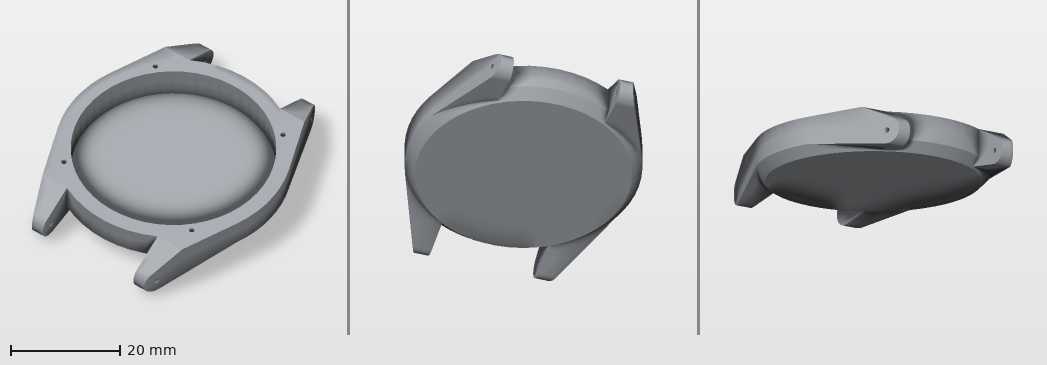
import cadquery as cq
import math

case_diameter = 43.45
case_height = 7.0
bevel = 1.9
pocket_diameter = 37.6
pocket_depth = 6.0

overall_length = 53.6
overall_height = 7.8
lug_gap = 20.35
lug_end_radius = 2.5
lug_taper_angle = math.radians(22)

hole_diameter = 1.0
screw_hole_spacing = 28.7
screw_hole_depth = 3.0

case_radius = case_diameter / 2
bevel_start = bevel - case_height
lug_inner_x = lug_gap / 2
lug_end_y = overall_length / 2
lug_slope_start_y = math.sqrt(case_radius**2 - lug_inner_x**2)
flank_start_x = case_radius * math.cos(lug_taper_angle)
flank_start_y = case_radius * math.sin(lug_taper_angle)
lug_tip_x = flank_start_x - (lug_end_y - flank_start_y) * math.tan(lug_taper_angle)
pin_y = lug_end_y - lug_end_radius
pin_z = lug_end_radius - overall_height


def tangent_point(start_y, start_z, side):
    """Point where a line from the start touches the lug end circle; side +1 is above, -1 below."""
    offset_y = start_y - pin_y
    offset_z = start_z - pin_z
    distance = math.hypot(offset_y, offset_z)
    direction = math.atan2(offset_z, offset_y)
    angle = direction - side * math.acos(lug_end_radius / distance)
    return pin_y + lug_end_radius * math.cos(angle), pin_z + lug_end_radius * math.sin(angle)


def make_case():
    disc = cq.Workplane("XY").circle(case_radius).extrude(-case_height)
    return disc.faces("<Z").chamfer(bevel)


def make_lug():
    """Lug in the +X, +Y quarter: side profile trimmed by its tapered plan outline."""
    profile = (
        cq.Workplane("YZ")
        .moveTo(flank_start_y, 0)
        .lineTo(lug_slope_start_y, 0)
        .lineTo(*tangent_point(lug_slope_start_y, 0, 1))
        .threePointArc((lug_end_y, pin_z), tangent_point(flank_start_y, bevel_start, -1))
        .lineTo(flank_start_y, bevel_start)
        .close()
        .extrude(case_radius)
    )
    plan = (
        cq.Workplane("XY")
        .polyline([
            (lug_inner_x, flank_start_y),
            (flank_start_x, flank_start_y),
            (lug_tip_x, lug_end_y),
            (lug_inner_x, lug_end_y),
        ])
        .close()
        .extrude(-overall_height)
    )
    pin_hole = (
        cq.Workplane("YZ").center(pin_y, pin_z).circle(hole_diameter / 2).extrude(case_radius)
    )
    return profile.intersect(plan).cut(pin_hole)


def make_pocket():
    return cq.Workplane("XY").circle(pocket_diameter / 2).extrude(-pocket_depth)


def make_screw_holes():
    return (
        cq.Workplane("XY")
        .rect(screw_hole_spacing, screw_hole_spacing, forConstruction=True)
        .vertices()
        .circle(hole_diameter / 2)
        .extrude(-screw_hole_depth)
    )


result = make_case()
lug = make_lug()
lug_pair = lug.union(lug.mirror("YZ"))
for pair in (lug_pair, lug_pair.mirror("XZ")):
    result = result.union(pair)
result = result.cut(make_pocket()).cut(make_screw_holes())